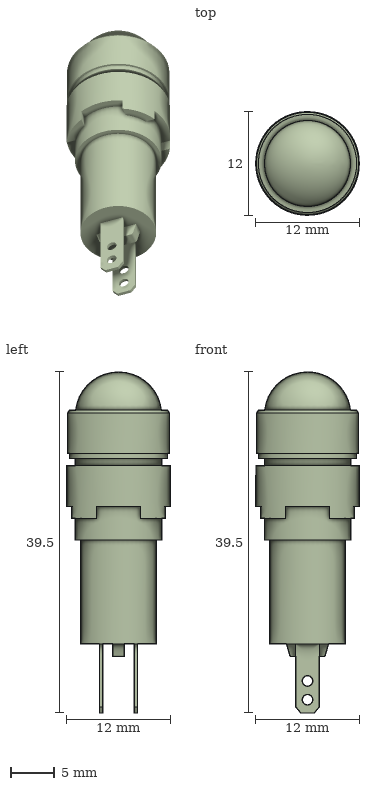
import cadquery as cq

TOTAL_HEIGHT = 39.5
FOOT_BOTTOM = 6.5
BARREL_BOTTOM = 8.0
NECK_BOTTOM = 20.03
RING_BOTTOM = 22.55
RING_TOP = 28.65
LIP_BOTTOM = 29.45
HEAD_BOTTOM = 30.05
HEAD_TOP = 35.08

BARREL_RADIUS = 4.4
NECK_RADIUS = 5.0
LIP_RADIUS = 5.7
HEAD_RADIUS = 5.92
DOME_RADIUS = 5.0
HEAD_CHAMFER_HEIGHT = 0.35
HEAD_CHAMFER_WIDTH = HEAD_RADIUS - LIP_RADIUS

RING_RADIUS = 6.0
NOTCH_WIDTH = 5.1
NOTCH_HEIGHT = 1.35
NOTCH_ANGLES = (0, 90)

TERMINAL_WIDTH = 2.75
TERMINAL_THICKNESS = 0.4
TERMINAL_SPACING = 4.03
TIP_CHAMFER_WIDTH = 0.6
TIP_CHAMFER_HEIGHT = 0.7
TERMINAL_HOLE_DIAMETER = 1.2
TERMINAL_HOLE_LEVELS = (1.55, 3.7)

FOOT_THICKNESS = 1.35
FOOT_TOP_WIDTH = 4.9
FOOT_BOTTOM_WIDTH = 4.03
FOOT_EDGE_RADIUS = 0.25


def make_turned_lamp():
    """Barrel, neck, head and dome, turned about Z."""
    dome_center = TOTAL_HEIGHT - DOME_RADIUS
    stem = (
        cq.Workplane("XZ")
        .moveTo(0, BARREL_BOTTOM)
        .lineTo(BARREL_RADIUS, BARREL_BOTTOM)
        .lineTo(BARREL_RADIUS, NECK_BOTTOM)
        .lineTo(NECK_RADIUS, NECK_BOTTOM)
        .lineTo(NECK_RADIUS, LIP_BOTTOM)
        .lineTo(LIP_RADIUS, LIP_BOTTOM)
        .lineTo(LIP_RADIUS, HEAD_BOTTOM)
        .lineTo(HEAD_RADIUS, HEAD_BOTTOM)
        .lineTo(HEAD_RADIUS, HEAD_TOP - HEAD_CHAMFER_HEIGHT)
        .lineTo(HEAD_RADIUS - HEAD_CHAMFER_WIDTH, HEAD_TOP)
        .lineTo(0, HEAD_TOP)
        .close()
        .revolve(360, (0, 0, 0), (0, 1, 0))
    )
    dome = cq.Workplane("XY").sphere(DOME_RADIUS).translate((0, 0, dome_center))
    return stem.union(dome)


def make_terminal(y_center):
    """Flat terminal with a chamfered tip and two wire holes."""
    half_width = TERMINAL_WIDTH / 2
    tip_half_width = half_width - TIP_CHAMFER_WIDTH
    blade = (
        cq.Workplane("XZ")
        .polyline([
            (-half_width, BARREL_BOTTOM),
            (-half_width, TIP_CHAMFER_HEIGHT),
            (-tip_half_width, 0),
            (tip_half_width, 0),
            (half_width, TIP_CHAMFER_HEIGHT),
            (half_width, BARREL_BOTTOM),
        ])
        .close()
        .extrude(TERMINAL_THICKNESS / 2, both=True)
    )
    holes = (
        cq.Workplane("XZ")
        .pushPoints([(0, level) for level in TERMINAL_HOLE_LEVELS])
        .circle(TERMINAL_HOLE_DIAMETER / 2)
        .extrude(TERMINAL_THICKNESS, both=True)
    )
    return blade.cut(holes).translate((0, y_center, 0))


def make_foot():
    """Tapered block under the barrel with rounded lower ends."""
    return (
        cq.Workplane("XZ")
        .polyline([
            (-FOOT_TOP_WIDTH / 2, BARREL_BOTTOM),
            (-FOOT_BOTTOM_WIDTH / 2, FOOT_BOTTOM),
            (FOOT_BOTTOM_WIDTH / 2, FOOT_BOTTOM),
            (FOOT_TOP_WIDTH / 2, BARREL_BOTTOM),
        ])
        .close()
        .extrude(FOOT_THICKNESS / 2, both=True)
        .edges("|Y and <Z")
        .fillet(FOOT_EDGE_RADIUS)
    )


def make_lamp():
    """Lamp with its terminals and foot as one solid."""
    lamp = make_turned_lamp().union(make_foot())
    for side in (-1, 1):
        lamp = lamp.union(make_terminal(side * TERMINAL_SPACING / 2))
    return lamp


def make_ring():
    """Ring fitted on the neck, with four notches in its lower edge."""
    ring = (
        cq.Workplane("XY")
        .workplane(offset=RING_BOTTOM)
        .circle(RING_RADIUS)
        .circle(NECK_RADIUS)
        .extrude(RING_TOP - RING_BOTTOM)
    )
    notch = (
        cq.Workplane("XY")
        .workplane(offset=RING_BOTTOM)
        .rect(2 * RING_RADIUS, NOTCH_WIDTH)
        .extrude(NOTCH_HEIGHT)
    )
    for angle in NOTCH_ANGLES:
        ring = ring.cut(notch.rotate((0, 0, 0), (0, 0, 1), angle))
    return ring


lamp = make_lamp()
ring = make_ring()

result = cq.Compound.makeCompound([lamp.val(), ring.val()])